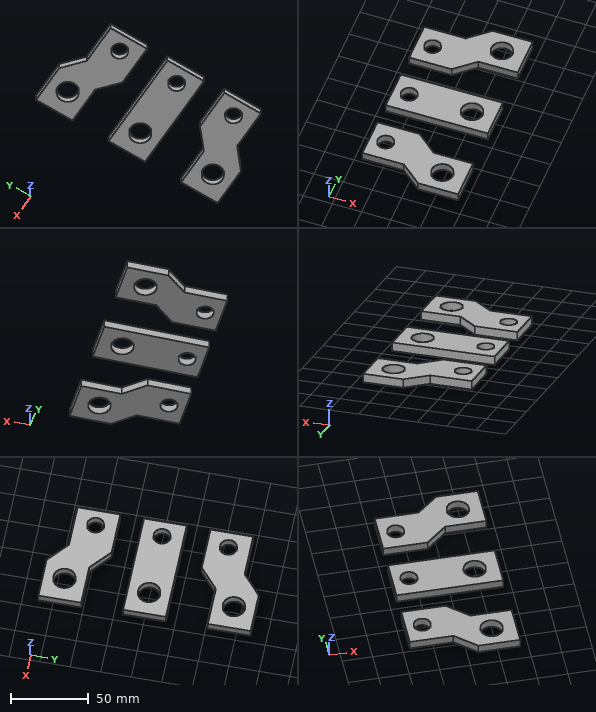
import cadquery as cq

length = 70.0
total_span = 139.0
thickness = 6.0
width = 28.1
jog = 12.0
small_diameter = 11.0
large_diameter = 14.5
small_hole_x = 11.0
large_hole_x = 54.1
outer_bend_start = 28.5
outer_bend_end = 42.5
inner_bend_start = 29.2
inner_bend_end = 43.1

half_width = width / 2
bar_pitch = total_span / 2 - jog - half_width


def drill_holes(blank, large_hole_y):
    """Cut the small near hole and the large far hole through a bar."""
    small_hole = cq.Workplane("XY").center(small_hole_x, 0).circle(small_diameter / 2).extrude(thickness)
    large_hole = (
        cq.Workplane("XY").center(large_hole_x, large_hole_y).circle(large_diameter / 2).extrude(thickness)
    )
    return blank.cut(small_hole).cut(large_hole)


def make_straight_bar():
    """Rectangular bar with its near end centred on the origin."""
    blank = cq.Workplane("XY").box(length, width, thickness, centered=(False, True, False))
    return drill_holes(blank, 0)


def make_jogged_bar(side):
    """Bar whose far end is shifted along Y; side is +1 or -1."""
    outline = [
        (0, -half_width),
        (inner_bend_start, -half_width),
        (inner_bend_end, jog - half_width),
        (length, jog - half_width),
        (length, jog + half_width),
        (outer_bend_end, jog + half_width),
        (outer_bend_start, half_width),
        (0, half_width),
    ]
    blank = cq.Workplane("XY").polyline([(x, side * y) for x, y in outline]).close().extrude(thickness)
    return drill_holes(blank, side * jog)


straight_bar = make_straight_bar()
jogged_bars = [make_jogged_bar(side).translate((0, side * bar_pitch, 0)) for side in (-1, 1)]

result = cq.Compound.makeCompound([straight_bar.val(), *[bar.val() for bar in jogged_bars]])